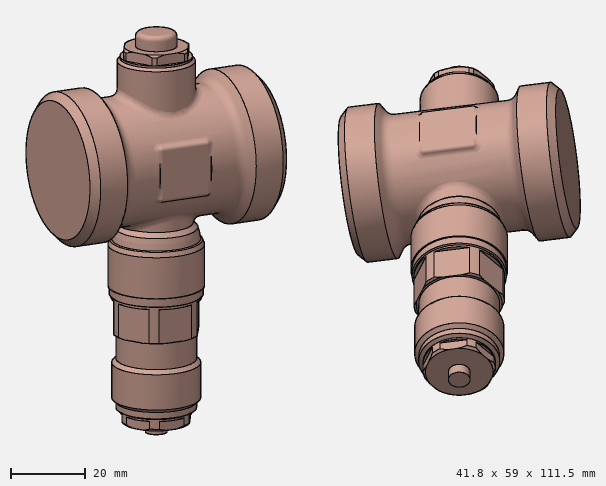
import cadquery as cq
import math

total_height = 111.5
top_z = 34.7
bottom_z = top_z - total_height

body_radius = 17.5
body_length = 59.0
body_half_length = body_length / 2
collar_diameter = 41.8
collar_radius = collar_diameter / 2
collar_chamfer = 2.1
collar_inner_y = 19.3
throat_knee_y = 17.9
throat_knee_radius = 19.0
throat_end_y = 15.3
throat_angle = 2 * math.atan((throat_knee_radius - body_radius) / (throat_knee_y - throat_end_y))
throat_arc_radius = (throat_knee_y - throat_end_y) / math.sin(throat_angle)

stub_fillet = 2.0

upper_radius = 10.5
upper_top_z = 26.5
shoulder_radius = 9.7
shoulder_z = 27.3
upper_hex_z = 27.9
upper_hex_top_z = 30.6
upper_hex_across_flats = 17.0
upper_hex_radius = 9.5
upper_hex_bevel_height = 0.6
upper_hex_bevel_width = 0.8
button_radius = 5.6
button_round = 1.3

neck_radius = 9.9
neck_flare_z = -18.4
neck_bottom_z = -19.7
neck_bottom_radius = 11.1
neck_ring_radius = 11.6
neck_ring_z = -21.3
neck_foot_radius = 11.9
neck_foot_z = -23.0
sleeve_radius = 12.9
sleeve_top_z = -23.2
sleeve_chamfer_width = 0.6
sleeve_chamfer_height = 1.3
sleeve_bottom_z = -36.0
sleeve_lip_radius = 12.6
sleeve_lip_z = -38.3

lower_hex_top_z = -39.2
lower_hex_bottom_z = -48.9
lower_hex_across_flats = 22.3
lower_hex_radius = 12.1
lower_hex_blend_height = 0.7
lower_hex_bevel_height = 0.3
lower_hex_bevel_width = 0.7

waist_radius = 10.8
barrel_radius = 11.9
barrel_slope_top_z = -56.3
barrel_top_z = -57.4
barrel_bottom_z = -67.2
barrel_slope_bottom_z = -68.2
end_ring_z = -70.0
end_ring_slope_z = -70.5

end_hex_top_z = -71.1
end_hex_bottom_z = -73.9
end_hex_across_flats = 17.9
end_hex_radius = 9.7
end_hex_bevel = 0.7
pin_radius = 2.9

pad_face_x = 17.2
pad_half_size = 7.7
pad_round = 1.0
pad_fillet = 1.9
pad_blank_length = 26.7
selection_margin = 1.1
face_clearance = 0.01


def turned(points):
    """Solid of revolution about Z from (radius, z) points; the axis closes the outline."""
    outline = [(0, points[0][1])] + points + [(0, points[-1][1])]
    return cq.Workplane("XZ").polyline(outline).close().revolve(360, (0, 0), (0, 1))


def hexagon(across_flats, z_low, z_high):
    """Hexagonal prism with two flats facing -X and +X."""
    corner_diameter = across_flats / math.cos(math.pi / 6)
    prism = cq.Workplane("XY").polygon(6, corner_diameter).extrude(z_high - z_low)
    return prism.rotate((0, 0, 0), (0, 0, 1), 30).translate((0, 0, z_low))


def body_cylinder(length):
    return cq.Workplane("XZ").circle(body_radius).extrude(length / 2, both=True)


def half_turned(solid):
    """The same solid turned half way round the Z axis."""
    return solid.rotate((0, 0, 0), (0, 0, 1), 180)


def collar():
    """Chamfered collar on the +Y end, with a flared throat down to the body."""
    arc_centre_radius = body_radius + throat_arc_radius
    middle_y = throat_end_y + throat_arc_radius * math.sin(throat_angle / 2)
    middle_radius = arc_centre_radius - throat_arc_radius * math.cos(throat_angle / 2)
    return (
        cq.Workplane("XY")
        .moveTo(0, throat_end_y)
        .lineTo(body_radius, throat_end_y)
        .threePointArc((middle_radius, middle_y), (throat_knee_radius, throat_knee_y))
        .lineTo(collar_radius, collar_inner_y)
        .lineTo(collar_radius, body_half_length - collar_chamfer)
        .lineTo(collar_radius - collar_chamfer, body_half_length)
        .lineTo(0, body_half_length)
        .close()
        .revolve(360, (0, 0), (0, 1))
    )


def body_with_stubs():
    """Plain body cylinder with the upper stub and the neck blended into it."""
    upper = cq.Workplane("XY").circle(upper_radius).extrude(upper_top_z)
    neck = cq.Workplane("XY").circle(neck_radius).extrude(sleeve_bottom_z)
    plain = body_cylinder(body_length).union(upper).union(neck)
    reach = upper_radius + selection_margin
    height = body_radius + selection_margin
    joint_zone = cq.selectors.BoxSelector(
        (-reach, -reach, -height), (reach, reach, height), boundingbox=True
    )
    return plain.edges(joint_zone).fillet(stub_fillet)


def upper_fittings():
    shoulder = turned([
        (upper_radius, upper_top_z),
        (shoulder_radius, shoulder_z),
        (shoulder_radius, upper_hex_z),
    ])
    bevel_envelope = turned([
        (upper_hex_radius, upper_hex_z),
        (upper_hex_radius, upper_hex_top_z - upper_hex_bevel_height),
        (upper_hex_radius - upper_hex_bevel_width, upper_hex_top_z),
    ])
    nut = hexagon(upper_hex_across_flats, upper_hex_z, upper_hex_top_z).intersect(bevel_envelope)
    button = (
        cq.Workplane("XY", origin=(0, 0, upper_hex_top_z))
        .circle(button_radius)
        .extrude(top_z - upper_hex_top_z)
        .faces(">Z")
        .edges()
        .fillet(button_round)
    )
    return shoulder.union(nut).union(button)


def sleeve():
    """Flared neck, sleeve with a lip, and the round top of the large hexagon."""
    return turned([
        (neck_radius, neck_flare_z),
        (neck_bottom_radius, neck_bottom_z),
        (neck_ring_radius, neck_ring_z),
        (neck_foot_radius, neck_foot_z),
        (sleeve_radius - sleeve_chamfer_width, sleeve_top_z),
        (sleeve_radius, sleeve_top_z - sleeve_chamfer_height),
        (sleeve_radius, sleeve_bottom_z),
        (sleeve_lip_radius, sleeve_bottom_z),
        (sleeve_lip_radius, sleeve_lip_z),
        (lower_hex_radius, lower_hex_top_z + lower_hex_blend_height),
        (lower_hex_radius, lower_hex_top_z),
    ])


def lower_nut():
    envelope = turned([
        (lower_hex_radius, lower_hex_top_z),
        (lower_hex_radius, lower_hex_bottom_z + lower_hex_bevel_height),
        (lower_hex_radius - lower_hex_bevel_width, lower_hex_bottom_z),
    ])
    return hexagon(lower_hex_across_flats, lower_hex_bottom_z, lower_hex_top_z).intersect(envelope)


def barrel():
    """Waist below the large hexagon, wider barrel, and ring above the small hexagon."""
    return turned([
        (waist_radius, lower_hex_bottom_z),
        (waist_radius, barrel_slope_top_z),
        (barrel_radius, barrel_top_z),
        (barrel_radius, barrel_bottom_z),
        (waist_radius, barrel_slope_bottom_z),
        (waist_radius, end_ring_z),
        (end_hex_radius, end_ring_slope_z),
        (end_hex_radius, end_hex_top_z),
    ])


def end_nut_and_pin():
    envelope = turned([
        (end_hex_radius, end_hex_top_z),
        (end_hex_radius, end_hex_bottom_z + end_hex_bevel),
        (end_hex_radius - end_hex_bevel, end_hex_bottom_z),
    ])
    nut = hexagon(end_hex_across_flats, end_hex_bottom_z, end_hex_top_z).intersect(envelope)
    pin = turned([(pin_radius, end_hex_bottom_z), (pin_radius, bottom_z)])
    return nut.union(pin)


def pad():
    """Rounded block on the +X side, blended into a length of body where it stands proud."""
    block = (
        cq.Workplane("YZ")
        .rect(2 * pad_half_size, 2 * pad_half_size)
        .extrude(pad_face_x)
        .edges("|X")
        .fillet(pad_round)
        .faces(">X")
        .edges()
        .fillet(pad_round)
    )
    reach = pad_half_size + selection_margin
    joint_zone = cq.selectors.BoxSelector(
        (selection_margin, -reach, -reach),
        (pad_face_x - face_clearance, reach, reach),
        boundingbox=True,
    )
    return body_cylinder(pad_blank_length).union(block).edges(joint_zone).fillet(pad_fillet)


def pad_recess():
    """Cutter that takes the crown of the body down to the flat pad face on the +X side."""
    return (
        cq.Workplane("YZ", origin=(pad_face_x, 0, 0))
        .rect(2 * pad_half_size, 2 * pad_half_size)
        .extrude(body_radius)
    )


result = body_with_stubs()
for end_part in (collar(), pad()):
    result = result.union(end_part).union(half_turned(end_part))
result = result.cut(pad_recess()).cut(half_turned(pad_recess()))
for fitting in (upper_fittings(), sleeve(), lower_nut(), barrel(), end_nut_and_pin()):
    result = result.union(fitting)